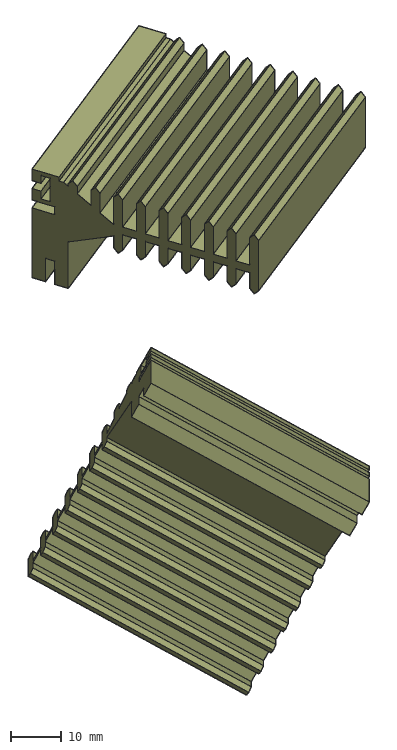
import cadquery as cq

length = 50.0
overall_width = 50.0

wall_thickness = 8.0
cap_top = 28.0
cap_width = 6.0

gap = 2.0
channel_bottom = 21.0
channel_top = 27.0
channel_middle = (channel_bottom + channel_top) / 2
lip_depth = 2.0
side_slot_depth = 5.0
foot_slot_start = 3.0
foot_slot_depth = 6.0

web_thickness = 2.0
web_bottom = 18.0
web_top = web_bottom + web_thickness

shoulder_height = channel_top
shoulder_end = 7.0
upper_taper_end = 18.0
lower_taper_start_height = 12.0
lower_taper_end = 20.0

fin_thickness = 2.0
fin_pitch = 5.0
fin_tip_height = 1.1
fin_side_top = 27.0
fin_side_bottom = 14.0
upper_fin_count = 9
lower_fin_count = 7


def extrude_outline(points):
    """Extrude a closed XZ outline over the full length, from Y = 0 to +Y."""
    return cq.Workplane("XZ").polyline(points).close().extrude(-length)


def bar(x_start, x_end, z_bottom, z_top):
    """Rectangular bar over the full length."""
    return extrude_outline([(x_start, z_bottom), (x_end, z_bottom), (x_end, z_top), (x_start, z_top)])


def fin(index, side_end, tip_end):
    """Half fin from the middle of the web to a pointed tip, above or below the web."""
    x_end = overall_width - index * fin_pitch
    x_start = x_end - fin_thickness
    x_middle = (x_start + x_end) / 2
    web_middle = (web_bottom + web_top) / 2
    return extrude_outline([
        (x_start, web_middle),
        (x_start, side_end),
        (x_middle, tip_end),
        (x_end, side_end),
        (x_end, web_middle),
    ])


body = extrude_outline([
    (0, 0),
    (wall_thickness, 0),
    (wall_thickness, lower_taper_start_height),
    (lower_taper_end, web_bottom),
    (overall_width, web_bottom),
    (overall_width, web_top),
    (upper_taper_end, web_top),
    (shoulder_end, shoulder_height),
    (cap_width, shoulder_height),
    (cap_width, cap_top),
    (0, cap_top),
])

for index in range(upper_fin_count):
    body = body.union(fin(index, fin_side_top, fin_side_top + fin_tip_height))
for index in range(lower_fin_count):
    body = body.union(fin(index, fin_side_bottom, fin_side_bottom - fin_tip_height))

channel = bar(lip_depth, lip_depth + gap, channel_bottom, channel_top)
channel_mouth = bar(0, lip_depth, channel_middle - gap / 2, channel_middle + gap / 2)

side_slot = bar(0, side_slot_depth, web_bottom, web_bottom + gap)
foot_slot = bar(foot_slot_start, foot_slot_start + gap, 0, foot_slot_depth)

result = body.cut(channel).cut(channel_mouth).cut(side_slot).cut(foot_slot)